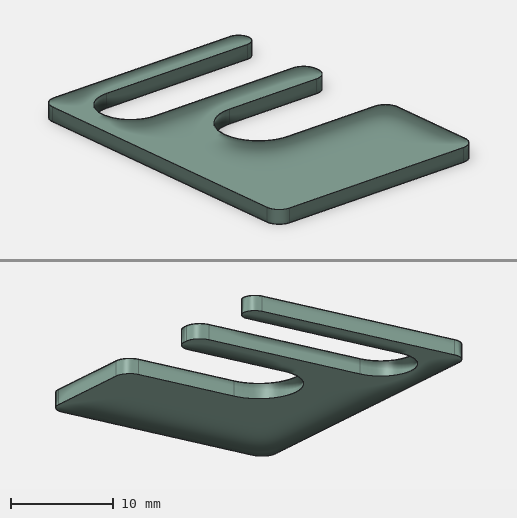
import cadquery as cq

length = 35.05
width = 25.4
thickness = 1.58
corner_radius = 1.58

outer_finger_width = 2.55
deep_slot_width = 7.15
deep_slot_floor = 2.52
middle_finger_width = 3.5
shallow_slot_width = 8.65
shallow_slot_floor = 8.35

deep_slot_left = outer_finger_width
middle_finger_left = deep_slot_left + deep_slot_width
shallow_slot_left = middle_finger_left + middle_finger_width
block_left = shallow_slot_left + shallow_slot_width


def open_slot(left, slot_width, floor):
    """Round-bottomed cutter that runs out through the back edge."""
    radius = slot_width / 2
    right = left + slot_width
    return (
        cq.Workplane("XY")
        .moveTo(left, width)
        .lineTo(left, floor + radius)
        .threePointArc((left + radius, floor), (right, floor + radius))
        .lineTo(right, width)
        .close()
        .extrude(thickness)
    )


def round_corner(body, x, y):
    """Round the upright corner edge at (x, y)."""
    corner = cq.selectors.NearestToPointSelector((x, y, thickness / 2))
    return body.edges("|Z").edges(corner).fillet(corner_radius)


result = cq.Workplane("XY").box(length, width, thickness, centered=False)
result = result.cut(open_slot(deep_slot_left, deep_slot_width, deep_slot_floor))
result = result.cut(open_slot(shallow_slot_left, shallow_slot_width, shallow_slot_floor))

for corner_x in (0, length):
    result = round_corner(result, corner_x, 0)

for corner_x in (middle_finger_left, shallow_slot_left, block_left, length):
    result = round_corner(result, corner_x, width)

tip_radius = outer_finger_width / 2
tip_center_y = width - tip_radius
tip_square = (
    cq.Workplane("XY")
    .moveTo(0, tip_center_y)
    .rect(outer_finger_width, tip_radius, centered=False)
    .extrude(thickness)
)
tip_disc = cq.Workplane("XY").center(tip_radius, tip_center_y).circle(tip_radius).extrude(thickness)
result = result.cut(tip_square.cut(tip_disc))